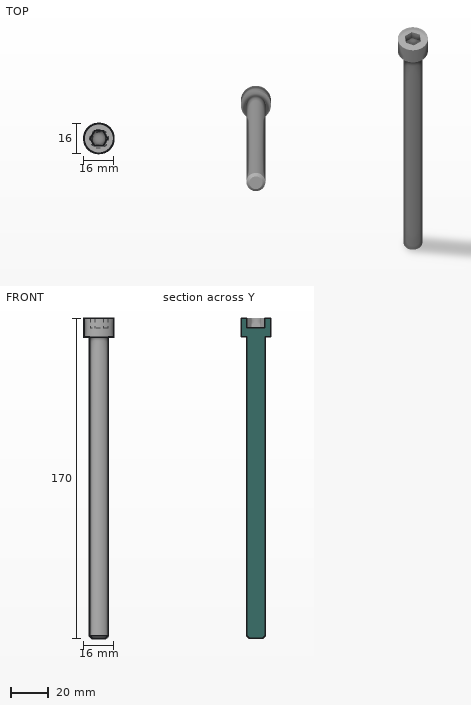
import cadquery as cq
import math

total_length = 170.0
head_diameter = 16.0
shank_diameter = 10.0
head_height = shank_diameter
socket_across_flats = 8.0
socket_depth = 5.0
thread_length = 32.0
tip_chamfer_height = 1.5
tip_chamfer_width = 1.5

top_z = total_length / 2
bottom_z = -total_length / 2
head_bottom_z = top_z - head_height


def make_body():
    """Head, shank and chamfered tip as one revolved half profile."""
    head_radius = head_diameter / 2
    shank_radius = shank_diameter / 2
    return (
        cq.Workplane("XZ")
        .moveTo(0, bottom_z)
        .lineTo(shank_radius - tip_chamfer_width, bottom_z)
        .lineTo(shank_radius, bottom_z + tip_chamfer_height)
        .lineTo(shank_radius, bottom_z + thread_length)
        .lineTo(shank_radius, head_bottom_z)
        .lineTo(head_radius, head_bottom_z)
        .lineTo(head_radius, top_z)
        .lineTo(0, top_z)
        .close()
        .revolve(360, (0, 0, 0), (0, 1, 0))
    )


def make_socket():
    """Hexagonal key socket with two corners on the X axis."""
    across_corners = socket_across_flats / math.cos(math.radians(30))
    return (
        cq.Workplane("XY", origin=(0, 0, top_z - socket_depth))
        .polygon(6, across_corners)
        .extrude(socket_depth)
    )


result = make_body().cut(make_socket(), clean=False)